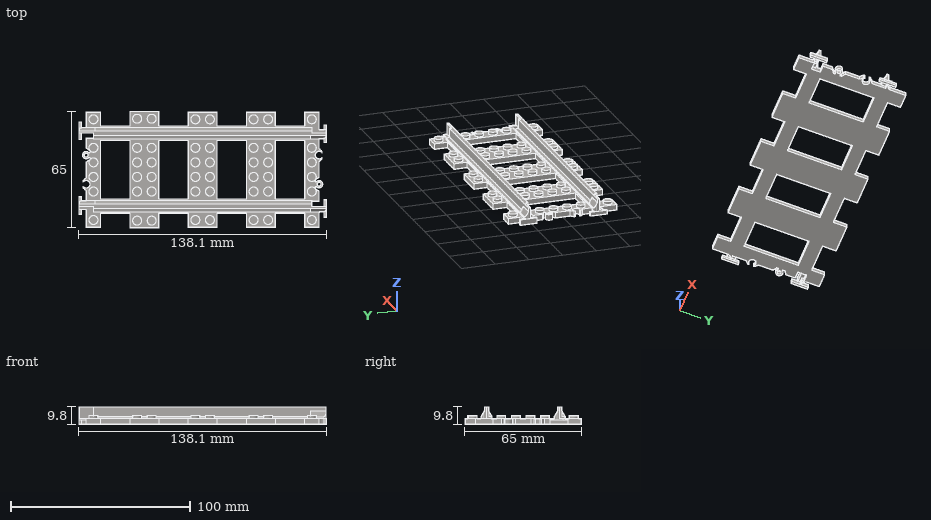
import cadquery as cq
import math

total_length = 138.1
total_width = 65.0
total_height = 9.8
base_height = 3.3

pitch = total_width / 8
half_length = total_length / 2

stud_radius = 2.5
stud_height = 1.7

tie_spacing = 4 * pitch
end_tie_offset = 7.5 * pitch
tie_end = end_tie_offset + pitch / 2
narrow_tie_half_width = 32.2
narrow_stud_offset = narrow_tie_half_width - pitch / 2

rail_offset = 20.5
web_half_width = 1.2
foot_half_width = 3.2
foot_edge_z = 4.1
foot_web_z = 4.5
ramp_web_z = 7.6
ramp_length = 8.7
rail_corner_radius = 1.5
rail_setback = 0.1
rail_end = half_length - rail_setback

lap_start = 7.5 * pitch
notch_margin = 2.8
lip_bottom_z = 2.3
lip_overhang = 2.0
undercut_width = 2.5

bar_thickness = 1.4
bar_length = 10.0
outer_bar_offset = 21.7
inner_bar_offset = 20.0
neck_width = 0.5
neck_flare = 2.2

ring_radius = 2.1
ring_hole_radius = 1.04
ring_neck_width = 2.8
recess_depth = 2.1
recess_mouth_half = 3.9
recess_floor_half = 2.5
clip_reach = 1.7
clip_root_half = 3.7
clip_tip_half = 2.1
clip_bore_radius = 2.1


def block(x0, x1, y0, y1, z0, z1):
    """Axis-aligned box between two opposite corners."""
    return cq.Workplane("XY").box(x1 - x0, y1 - y0, z1 - z0, centered=False).translate((x0, y0, z0))


def plate(points):
    """Base-height plate with a polygonal outline."""
    return cq.Workplane("XY").polyline(points).close().extrude(base_height)


def half_turn(shape):
    """The same shape at the opposite end of the track."""
    return shape.rotate((0, 0, 0), (0, 0, 1), 180)


def tie(x_center, columns, half_width):
    half_tie = columns * pitch / 2
    return block(x_center - half_tie, x_center + half_tie, -half_width, half_width, 0, base_height)


def studs(x_center, columns, outer_stud_offset):
    xs = [x_center + (i - (columns - 1) / 2) * pitch for i in range(columns)]
    inner_ys = [-1.5 * pitch, -0.5 * pitch, 0.5 * pitch, 1.5 * pitch]
    ys = [-outer_stud_offset] + inner_ys + [outer_stud_offset]
    return (
        cq.Workplane("XY").workplane(offset=base_height)
        .pushPoints([(x, y) for x in xs for y in ys])
        .circle(stud_radius).extrude(stud_height)
    )


def rail(y_center):
    """Full-length rail: an upright web on a foot with gently sloped tops."""
    right_half = [
        (foot_half_width, base_height),
        (foot_half_width, foot_edge_z),
        (web_half_width, foot_web_z),
        (web_half_width, total_height),
    ]
    left_half = [(-y, z) for y, z in reversed(right_half)]
    return (
        cq.Workplane("YZ").polyline(right_half + left_half).close()
        .extrude(2 * rail_end).translate((-rail_end, y_center, 0))
    )


def ramp(y_center):
    """Steep wedge against the +Y side of the web at the -X end."""
    profile = [
        (0, foot_edge_z),
        (foot_half_width, foot_edge_z),
        (web_half_width, ramp_web_z),
        (0, ramp_web_z),
    ]
    return (
        cq.Workplane("YZ").polyline(profile).close()
        .extrude(ramp_length).translate((-rail_end, y_center, 0))
    )


def corner_waste(y_center):
    """Material outside the rounded upright corner at the -X end of a rail's +Y foot."""
    r = rail_corner_radius
    y_edge = y_center + foot_half_width
    corner = block(-rail_end, -rail_end + r, y_edge - r, y_edge, lip_bottom_z, total_height)
    round_post = (
        cq.Workplane("XY").workplane(offset=lip_bottom_z)
        .center(-rail_end + r, y_edge - r).circle(r).extrude(total_height - lip_bottom_z)
    )
    return corner.cut(round_post)


def crossbar(y_center, side, height):
    """Bar across the -X end on a neck flared toward the side (+1 or -1) away from the centre."""
    bar_back = -half_length + bar_thickness
    bar = block(-half_length, bar_back, y_center - bar_length / 2, y_center + bar_length / 2, 0, height)
    y_outer = y_center + side * neck_width
    gap = -tie_end - bar_back
    arc_x = math.sqrt(0.5)
    arc_y = 1 - arc_x
    neck = (
        cq.Workplane("XY").moveTo(bar_back, y_center).lineTo(bar_back, y_outer)
        .threePointArc((bar_back + arc_x * gap, y_outer + side * arc_y * neck_flare),
                       (-tie_end, y_outer + side * neck_flare))
        .lineTo(-tie_end, y_center).close().extrude(height)
    )
    return bar.union(neck)


def ring_recess(y_center):
    x_floor = -tie_end + recess_depth
    return plate([
        (-tie_end, y_center - recess_mouth_half),
        (x_floor, y_center - recess_floor_half),
        (x_floor, y_center + recess_floor_half),
        (-tie_end, y_center + recess_mouth_half),
    ])


def ring(y_center):
    half_neck = ring_neck_width / 2
    neck = block(-tie_end, -tie_end + recess_depth, y_center - half_neck, y_center + half_neck, 0, base_height)
    disc = cq.Workplane("XY").center(-tie_end, y_center).circle(ring_radius).extrude(base_height)
    hole = cq.Workplane("XY").center(-tie_end, y_center).circle(ring_hole_radius).extrude(base_height)
    return disc.union(neck).cut(hole)


def clip_prongs(y_center):
    x_tip = -tie_end - clip_reach
    return plate([
        (-tie_end, y_center - clip_root_half),
        (x_tip, y_center - clip_tip_half),
        (x_tip, y_center + clip_tip_half),
        (-tie_end, y_center + clip_root_half),
    ])


def clip_bore(y_center):
    return cq.Workplane("XY").center(-tie_end, y_center).circle(clip_bore_radius).extrude(base_height)


ties = [
    (-end_tie_offset, 1, narrow_tie_half_width, narrow_stud_offset),
    (-tie_spacing, 2, total_width / 2, 3.5 * pitch),
    (0, 2, narrow_tie_half_width, narrow_stud_offset),
    (tie_spacing, 2, narrow_tie_half_width, narrow_stud_offset),
    (end_tie_offset, 1, narrow_tie_half_width, narrow_stud_offset),
]

track = block(-tie_end, tie_end, 2 * pitch, 3 * pitch, 0, base_height)
track = track.union(half_turn(track))
for x_center, columns, half_width, outer_stud_offset in ties:
    track = track.union(tie(x_center, columns, half_width))
    track = track.union(studs(x_center, columns, outer_stud_offset))

for y_center in (rail_offset, -rail_offset):
    track = track.union(rail(y_center))
    track = track.union(ramp(y_center)).union(half_turn(ramp(y_center)))

lip = block(
    -rail_end, -tie_end,
    -rail_offset - lip_overhang, -rail_offset + foot_half_width,
    lip_bottom_z, base_height,
)
track = track.union(lip).union(half_turn(lip))

open_notch = block(
    -rail_end, -lap_start, rail_offset - notch_margin, rail_offset, 0, total_height,
)
foot_trim = block(
    -rail_end, -lap_start, rail_offset - foot_half_width, rail_offset, base_height, total_height,
)
undercut = block(
    -tie_end, -lap_start, rail_offset, rail_offset + undercut_width, 0, base_height,
)
lip_lap = block(
    -rail_end, -lap_start, -rail_offset - foot_half_width, -rail_offset, base_height, total_height,
)
end_cuts = [open_notch, foot_trim, undercut, lip_lap, corner_waste(rail_offset), corner_waste(-rail_offset)]
for end_cut in end_cuts:
    track = track.cut(end_cut).cut(half_turn(end_cut))

for recess in (ring_recess(pitch), half_turn(ring_recess(pitch))):
    track = track.cut(recess)
couplings = [
    crossbar(outer_bar_offset, 1, base_height),
    crossbar(-inner_bar_offset, -1, lip_bottom_z),
    ring(pitch),
    clip_prongs(-pitch),
]
for coupling in couplings:
    track = track.union(coupling).union(half_turn(coupling))
track = track.cut(clip_bore(-pitch)).cut(half_turn(clip_bore(-pitch)))

result = track